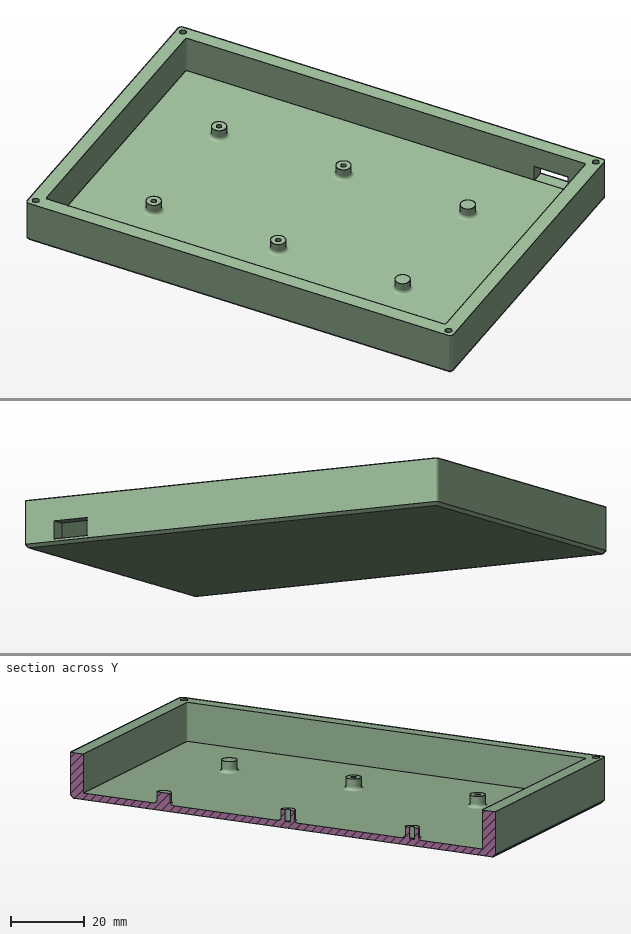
import cadquery as cq

length = 130.8
width = 90.3
height = 13.0
wall = 4.0
floor = 2.0
outer_corner_radius = 1.0
bottom_bevel = 0.9
inner_corner_radius = 0.5

rim_hole_diameter = 1.8
rim_hole_depth = 7.8

post_diameter = 4.2
post_height = 3.3
post_base_radius = 1.0
post_spacing = 38.2
post_grid_x = -1.5
post_grid_y = -0.1
pilot_diameter = 1.5

opening_width = 10.5
opening_height = 5.0
opening_sill_drop = 0.4
opening_corner_gap = 5.5


def make_tray():
    """Open box with rounded corners and bevelled bottom edges."""
    body = cq.Workplane("XY").box(length, width, height, centered=(True, True, False))
    body = body.edges("|Z").fillet(outer_corner_radius)
    body = body.faces("<Z").edges().chamfer(bottom_bevel)
    cavity = (
        cq.Workplane("XY", origin=(0, 0, floor))
        .rect(length - 2 * wall, width - 2 * wall)
        .extrude(height - floor)
        .edges("|Z")
        .fillet(inner_corner_radius)
    )
    return body.cut(cavity)


def make_post():
    """Round post at the origin, flared into the floor by a concave fillet."""
    radius = post_diameter / 2
    midpoint_inset = post_base_radius * (1 - 0.5**0.5)
    profile = (
        cq.Workplane("XZ", origin=(0, 0, floor))
        .lineTo(radius + post_base_radius, 0)
        .threePointArc((radius + midpoint_inset, midpoint_inset), (radius, post_base_radius))
        .lineTo(radius, post_height)
        .lineTo(0, post_height)
        .close()
    )
    return profile.revolve(360, (0, 0, 0), (0, 1, 0))


def make_rim_holes():
    """Blind holes at the four corners of the rim."""
    return (
        cq.Workplane("XY", origin=(0, 0, height))
        .rect(length - wall, width - wall, forConstruction=True)
        .vertices()
        .circle(rim_hole_diameter / 2)
        .extrude(-rim_hole_depth)
    )


def make_opening():
    """Cutter for the rectangular opening near the right end of the back wall."""
    center_x = length / 2 - wall - opening_corner_gap - opening_width / 2
    return cq.Workplane("XY", origin=(center_x, width / 2 - wall / 2, floor - opening_sill_drop)).box(
        opening_width, wall, opening_height, centered=(True, True, False)
    )


result = make_tray().cut(make_rim_holes()).cut(make_opening())

post = make_post()
pilot_hole = cq.Workplane("XY", origin=(0, 0, floor)).circle(pilot_diameter / 2).extrude(post_height)
for column in (-1, 0, 1):
    for row in (-0.5, 0.5):
        place = (post_grid_x + column * post_spacing, post_grid_y + row * post_spacing, 0)
        result = result.union(post.translate(place))
        if column < 1:
            result = result.cut(pilot_hole.translate(place))